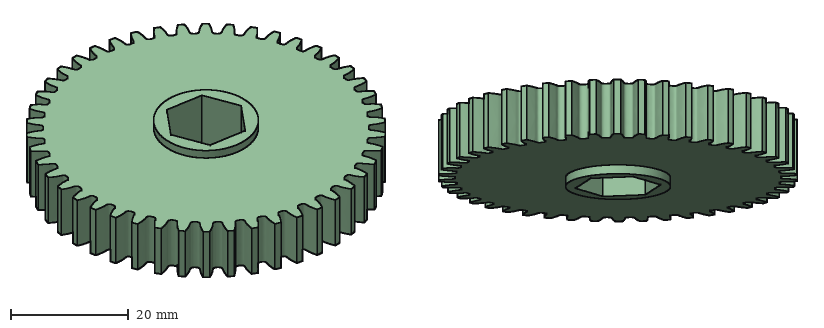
import cadquery as cq
import math

outside_diameter = 60.95
tooth_count = 46
pressure_angle = math.radians(14.5)
dedendum_factor = 1.25
tooth_thinning = 0.09
root_fillet = 0.6
flank_steps = 4

gear_thickness = 9.5
hub_height = 12.6
hub_diameter = 17.8
hex_across_flats = 12.7

module = outside_diameter / (tooth_count + 2)
tip_radius = outside_diameter / 2
pitch_radius = module * tooth_count / 2
base_radius = pitch_radius * math.cos(pressure_angle)
root_radius = pitch_radius - dedendum_factor * module
tooth_pitch = 2 * math.pi / tooth_count


def polar(radius, angle):
    return (radius * math.cos(angle), radius * math.sin(angle))


def involute(angle):
    return math.tan(angle) - angle


def flank_half_angle(radius):
    """Half of the angle that a tooth spans at a radius on its involute flank."""
    half_angle_at_pitch = tooth_pitch / 4 - tooth_thinning / (2 * pitch_radius)
    return half_angle_at_pitch + involute(pressure_angle) - involute(math.acos(base_radius / radius))


def half_tooth_profile():
    """Radius and half angle along one side of a tooth, from its tip down to the root circle."""
    tip_roll = math.sqrt((tip_radius / base_radius) ** 2 - 1)
    profile = []
    for step in range(flank_steps, 0, -1):
        radius = base_radius * math.hypot(1, tip_roll * step / flank_steps)
        profile.append((radius, flank_half_angle(radius)))

    center_radius = root_radius + root_fillet
    center_half_angle = flank_half_angle(base_radius) + math.asin(root_fillet / center_radius)
    fillet_bulge = root_fillet * math.sqrt(0.5)
    middle_radius = math.hypot(center_radius - fillet_bulge, fillet_bulge)
    middle_half_angle = center_half_angle - math.atan2(fillet_bulge, center_radius - fillet_bulge)
    profile.append((middle_radius, middle_half_angle))
    profile.append((root_radius, center_half_angle))
    return profile


def make_gear():
    profile = half_tooth_profile()
    tip_half_angle = profile[0][1]
    first_tooth = math.pi / 2
    outline = (
        cq.Workplane("XY")
        .workplane(offset=-gear_thickness / 2)
        .moveTo(*polar(tip_radius, first_tooth - tip_half_angle))
    )
    for index in range(tooth_count):
        tooth = first_tooth + index * tooth_pitch
        next_tooth = tooth + tooth_pitch
        falling_side = [polar(radius, tooth + half_angle) for radius, half_angle in profile]
        rising_side = [polar(radius, next_tooth - half_angle) for radius, half_angle in reversed(profile)]
        outline = (
            outline
            .threePointArc(polar(tip_radius, tooth), falling_side[0])
            .spline(falling_side[1:] + rising_side, includeCurrent=True)
        )
    return outline.close().extrude(gear_thickness)


def make_hub():
    return cq.Workplane("XY").circle(hub_diameter / 2).extrude(hub_height / 2, both=True)


def make_bore():
    hex_across_corners = hex_across_flats / math.cos(math.pi / 6)
    return (
        cq.Workplane("XY")
        .transformed(rotate=(0, 0, 90))
        .polygon(6, hex_across_corners)
        .extrude(hub_height / 2, both=True)
    )


result = make_gear().union(make_hub()).cut(make_bore())